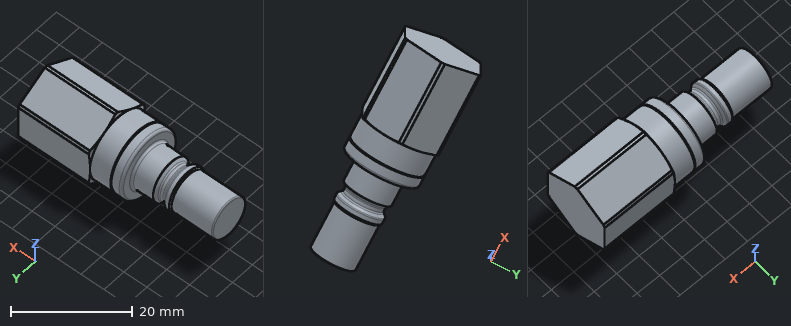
import cadquery as cq
import math

total_length = 39.9
ring_start = 8.9
ring_end = 10.1
shank_start = 12.7
collar_start = 17.4
seam_center = 19.75
hexagon_start = 24.25

tip_diameter = 8.4
ring_diameter = 9.0
neck_diameter = 7.6
across_flats = 14.0
across_corners = 15.8

tip_round = 0.25
ring_round = 0.34
neck_round = 0.48
shoulder_fillet = 0.48
collar_round = 0.5
seam_width = 0.1
seam_depth = 0.1
hexagon_chamfer_length = 0.28

tip_radius = tip_diameter / 2
ring_radius = ring_diameter / 2
neck_radius = neck_diameter / 2
collar_radius = across_flats / 2
corner_radius = across_corners / 2

turn_run = math.sin(math.radians(45))
turn_drop = 1 - math.cos(math.radians(45))
half_turn_run = math.sin(math.radians(22.5))
half_turn_drop = 1 - math.cos(math.radians(22.5))


def make_plug():
    """Revolve the round front part: tip, retaining ring, neck, shank and collar."""
    front_cone_start = ring_end + ring_round * turn_run
    front_cone_top = ring_radius - ring_round * turn_drop
    cone_foot_radius = neck_radius + neck_round * turn_drop
    front_cone_end = front_cone_start + front_cone_top - cone_foot_radius
    rear_cone_start = shank_start - (ring_radius - cone_foot_radius)
    round_mid_radius = neck_radius + neck_round * half_turn_drop
    floor_start = front_cone_end + neck_round * turn_run
    floor_end = rear_cone_start - neck_round * turn_run

    profile = (
        cq.Workplane("XY")
        .moveTo(0, 0)
        .lineTo(0, tip_radius - tip_round)
        .radiusArc((tip_round, tip_radius), tip_round)
        .lineTo(ring_start, tip_radius)
        .lineTo(ring_start + ring_radius - tip_radius, ring_radius)
        .lineTo(ring_end, ring_radius)
        .threePointArc(
            (ring_end + ring_round * half_turn_run, ring_radius - ring_round * half_turn_drop),
            (front_cone_start, front_cone_top),
        )
        .lineTo(front_cone_end, cone_foot_radius)
        .threePointArc(
            (floor_start - neck_round * half_turn_run, round_mid_radius),
            (floor_start, neck_radius),
        )
        .lineTo(floor_end, neck_radius)
        .threePointArc(
            (floor_end + neck_round * half_turn_run, round_mid_radius),
            (rear_cone_start, cone_foot_radius),
        )
        .lineTo(shank_start, ring_radius)
        .lineTo(collar_start - shoulder_fillet, ring_radius)
        .radiusArc((collar_start, ring_radius + shoulder_fillet), -shoulder_fillet)
        .lineTo(collar_start, collar_radius - collar_round)
        .radiusArc((collar_start + collar_round, collar_radius), collar_round)
        .lineTo(hexagon_start, collar_radius)
        .lineTo(hexagon_start, 0)
        .close()
    )
    return profile.revolve(360, (0, 0, 0), (1, 0, 0))


def make_seam():
    """Ring that cuts the narrow groove around the collar."""
    return (
        cq.Workplane("YZ", origin=(seam_center - seam_width / 2, 0, 0))
        .circle(collar_radius + seam_depth)
        .circle(collar_radius - seam_depth)
        .extrude(seam_width)
    )


def make_hexagon():
    """Hexagon with flats facing +Y and -Y, corners turned round and front edge coned."""
    prism = (
        cq.Workplane("YZ", origin=(hexagon_start, 0, 0))
        .polygon(6, across_flats, circumscribed=True)
        .extrude(total_length - hexagon_start)
    )
    turned_envelope = (
        cq.Workplane("XY")
        .moveTo(hexagon_start, 0)
        .lineTo(hexagon_start, collar_radius)
        .lineTo(hexagon_start + hexagon_chamfer_length, corner_radius)
        .lineTo(total_length, corner_radius)
        .lineTo(total_length, 0)
        .close()
        .revolve(360, (0, 0, 0), (1, 0, 0))
    )
    return prism.intersect(turned_envelope)


result = make_plug().cut(make_seam()).union(make_hexagon())